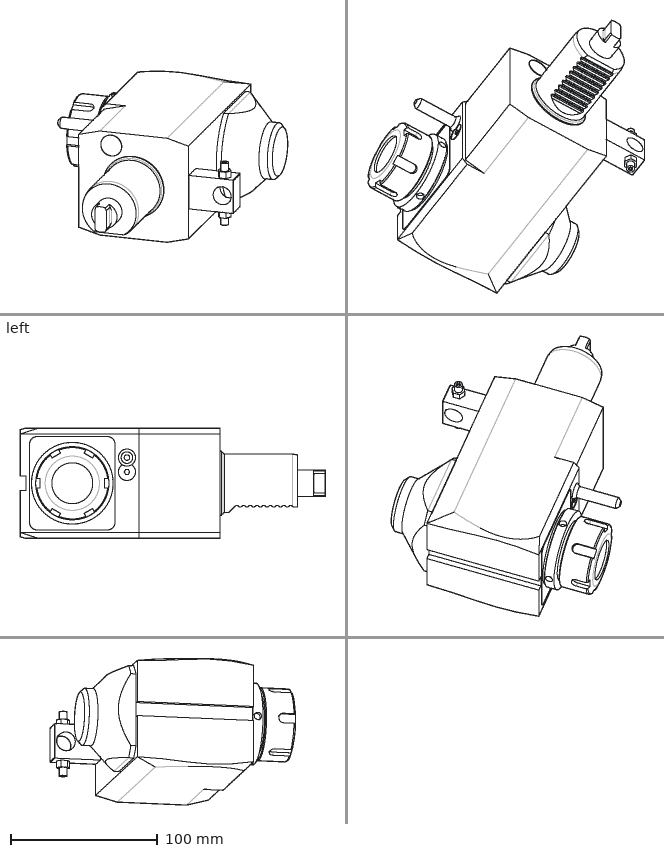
import cadquery as cq
import math


BODY_REAR = 136.2
BODY_HEIGHT = 75.0
BODY_HALF_HEIGHT = BODY_HEIGHT / 2
BODY_HALF_WIDTH = 39.3
EDGE_HEIGHT = 33.5
SLOPE_START = 24.1
REAR_BLOCK_START = 55.3
REAR_BLOCK_LEFT = -41.8
REAR_BLOCK_SLOPE_START = -37.9
REAR_SLOPE_LENGTH = 12.5
REAR_SLOPE_CREST = (-13.0, 3.3)
REAR_SLOPE_LEFT = (-27.2, 5.8)
REAR_SLOPE_RIGHT = (1.7, 5.2)
REAR_SLOT_DEPTH = 4.0
REAR_SLOT_HEIGHT = 9.8
PLUG_X, PLUG_Z = -16.0, 27.9
PLUG_RADIUS = 7.5
SHALLOW = 0.5

SPINDLE_Y = 100.7
PAD_LENGTH = 58.2
PAD_HEIGHT = 63.6
PAD_CORNER = 5.2
COLLAR_RADIUS = 27.9
COLLAR_FRONT = -50.0
COLLAR_BACK = -43.0
SPIGOT_RADIUS = 26.5
NECK_RADIUS = 21.2
NUT_RADIUS = 25.0
NUT_BACK = -52.5
NUT_FRONT = -74.7
NUT_CHAMFER = 0.6
NUT_CONE_LENGTH = 1.5
NUT_RIM_LENGTH = 1.0
NUT_FACE_RADIUS = 18.5
NUT_BORE_RADIUS = 14.0
NUT_BORE_DEPTH = 1.7
NUT_SLOT_COUNT = 6
NUT_SLOT_WIDTH = 6.7
NUT_SLOT_FLOOR = 21.8
NUT_SLOT_END = -57.6
NUT_SLOT_END_SHORT = -61.5
COLLAR_HOLE_COUNT = 4
COLLAR_HOLE_X = -46.4
COLLAR_HOLE_RADIUS = 2.5
COLLAR_HOLE_DEPTH = 4.2

PIN_Y, PIN_Z = 63.5, 17.5
PIN_RADIUS = 4.0
PIN_TIP_RADIUS = 1.9
PIN_TIP_LENGTH = 2.3
PIN_FOOT_RADIUS = 5.8
PIN_FOOT_LENGTH = 2.5
SCREW_Z = 7.7
SCREW_SOCKET = 3.7

COVER_RADIUS = 40.0
COVER_RIM_END = 42.8
COVER_HALF_HEIGHT = 32.0
COVER_REAR_REACH = 31.2
COVER_SLOPE = 0.25
NOSE_RADIUS = 19.5
NOSE_END = 72.0
NOSE_CHAMFER = 2.7

BRACKET_FRONT = 1.0
BRACKET_BACK = 16.2
BRACKET_END = 71.3
BRACKET_HALF_HEIGHT = 12.0
BRACKET_CHAMFER = 0.5
BOLT_X, BOLT_Y = 63.2, 6.5
BRACKET_BORE_RADIUS = 6.5
NUT_HEX_WIDTH = 9.2
NUT_HEX_HEIGHT = 4.5
BOLT_RADIUS = 2.7
BOLT_TOP = 22.3
BOLT_SOCKET = 3.0
SOCKET_DEPTH = 1.7

SHANK_RADIUS = 20.0
SHANK_LENGTH = 52.8
SHANK_CHAMFER = 0.6
SHANK_TIP_BAND = 3.5
FLANGE_RADIUS = 21.8
FLANGE_LENGTH = 1.9
FLANGE_CHAMFER = 1.0
RACK_DROP = 16.2
RACK_START = 9.8
RACK_RAMP = 4.4
TOOTH_COUNT = 9
TOOTH_PITCH = 4.5
TOOTH_DEPTH = 1.0
TOOTH_ROOT = 1.0
TOOTH_GAP = 3.5
FIRST_GAP = 11.5
DRIVE_RADIUS = 9.2
TANG_START = 63.6
TANG_END = 71.8
TANG_HALF_WIDTH = 4.2
TANG_FACE_HALF = 6.7
TANG_EDGE_HALF = 3.1
TANG_ROOT_FILLET = 0.8


def box(x0, x1, y0, y1, z0, z1):
    return cq.Workplane("XY").box(x1 - x0, y1 - y0, z1 - z0, centered=False).translate((x0, y0, z0))


def x_cylinder(x0, x1, y, z, radius):
    return cq.Workplane("YZ", origin=(x0, y, z)).circle(radius).extrude(x1 - x0)


def x_revolve(profile, y, z):
    """Turn (x, radius) points about the line through (y, z) parallel to X."""
    return cq.Workplane("XY").polyline(profile).close().revolve(360, (0, 0), (1, 0)).translate((0, y, z))


def body_prism(left, left_slope_start, y0, y1):
    """Eight-sided bar along Y, symmetric about Z = 0."""
    upper = [
        (left, EDGE_HEIGHT),
        (left_slope_start, BODY_HALF_HEIGHT),
        (SLOPE_START, BODY_HALF_HEIGHT),
        (BODY_HALF_WIDTH, EDGE_HEIGHT),
    ]
    lower = [(x, -z) for x, z in reversed(upper)]
    return cq.Workplane("XZ", origin=(0, y0, 0)).polyline(upper + lower).close().extrude(y0 - y1)


def rear_slope_cutter():
    """Curved slope of even steepness from the rear face up to the top face."""
    steepness = (BODY_HALF_HEIGHT - EDGE_HEIGHT) / REAR_SLOPE_LENGTH
    middle = [REAR_SLOPE_LEFT, REAR_SLOPE_CREST, REAR_SLOPE_RIGHT]
    rear_curve = [(REAR_BLOCK_LEFT, REAR_SLOPE_LENGTH), *middle, (BODY_HALF_WIDTH, REAR_SLOPE_LENGTH)]
    top_curve = [(REAR_BLOCK_SLOPE_START, REAR_SLOPE_LENGTH), *middle, (SLOPE_START, REAR_SLOPE_LENGTH)]
    rear_edge = cq.Edge.makeSpline(
        [cq.Vector(x, BODY_REAR, BODY_HALF_HEIGHT - steepness * setback) for x, setback in rear_curve]
    )
    top_edge = cq.Edge.makeSpline(
        [cq.Vector(x, BODY_REAR - setback, BODY_HALF_HEIGHT) for x, setback in top_curve]
    )
    slope = cq.Face.makeRuledSurface(rear_edge, top_edge)
    return cq.Workplane(cq.Solid.extrudeLinear(slope, cq.Vector(0, 0, BODY_HALF_HEIGHT)))


def make_body():
    body = body_prism(-BODY_HALF_WIDTH, -SLOPE_START, 0, REAR_BLOCK_START)
    body = body.union(body_prism(REAR_BLOCK_LEFT, REAR_BLOCK_SLOPE_START, REAR_BLOCK_START, BODY_REAR))
    slope = rear_slope_cutter()
    body = body.cut(slope).cut(slope.mirror("XY"))
    rear_slot = box(
        REAR_BLOCK_LEFT, BODY_HALF_WIDTH,
        BODY_REAR - REAR_SLOT_DEPTH, BODY_REAR,
        -REAR_SLOT_HEIGHT / 2, REAR_SLOT_HEIGHT / 2,
    )
    plug = cq.Workplane("XZ", origin=(PLUG_X, 0, PLUG_Z)).circle(PLUG_RADIUS).extrude(-SHALLOW)
    pad = (
        cq.Workplane("YZ", origin=(REAR_BLOCK_LEFT, SPINDLE_Y, 0))
        .rect(PAD_LENGTH, PAD_HEIGHT)
        .extrude(SHALLOW)
        .edges("|X")
        .fillet(PAD_CORNER)
    )
    screw_socket = (
        cq.Workplane("YZ", origin=(REAR_BLOCK_LEFT, PIN_Y, SCREW_Z))
        .polygon(6, SCREW_SOCKET)
        .extrude(SOCKET_DEPTH)
    )
    screw_head = x_cylinder(REAR_BLOCK_LEFT, REAR_BLOCK_LEFT + SHALLOW, PIN_Y, SCREW_Z, PIN_FOOT_RADIUS)
    return body.cut(rear_slot).cut(plug).cut(pad).cut(screw_head).cut(screw_socket)


def make_collet_nut():
    """Collar, neck and clamping nut turned about the spindle axis."""
    rim_front = NUT_FRONT + NUT_CONE_LENGTH
    inside = REAR_BLOCK_LEFT + 2
    nut = x_revolve(
        [
            (inside, 0),
            (inside, SPIGOT_RADIUS),
            (COLLAR_BACK, SPIGOT_RADIUS),
            (COLLAR_BACK, COLLAR_RADIUS),
            (COLLAR_FRONT, COLLAR_RADIUS),
            (COLLAR_FRONT, NECK_RADIUS),
            (NUT_BACK, NECK_RADIUS),
            (NUT_BACK, NUT_RADIUS - NUT_CHAMFER),
            (NUT_BACK - NUT_CHAMFER, NUT_RADIUS),
            (rim_front + NUT_RIM_LENGTH, NUT_RADIUS),
            (rim_front, NUT_RADIUS - NUT_CHAMFER),
            (NUT_FRONT, NUT_FACE_RADIUS),
            (NUT_FRONT, 0),
        ],
        SPINDLE_Y,
        0,
    )
    nut = nut.cut(x_cylinder(NUT_FRONT, NUT_FRONT + NUT_BORE_DEPTH, SPINDLE_Y, 0, NUT_BORE_RADIUS))

    def around_spindle(tool, angle):
        return tool.rotate((0, 0, 0), (1, 0, 0), angle).translate((0, SPINDLE_Y, 0))

    def nut_slot(end):
        arc_centre = end - NUT_SLOT_WIDTH / 2
        return (
            cq.Workplane("XZ", origin=(0, -NUT_SLOT_FLOOR, 0))
            .moveTo(NUT_FRONT, -NUT_SLOT_WIDTH / 2)
            .lineTo(arc_centre, -NUT_SLOT_WIDTH / 2)
            .threePointArc((end, 0), (arc_centre, NUT_SLOT_WIDTH / 2))
            .lineTo(NUT_FRONT, NUT_SLOT_WIDTH / 2)
            .close()
            .extrude(NUT_RADIUS - NUT_SLOT_FLOOR + 2)
        )

    for i in range(NUT_SLOT_COUNT):
        on_y_axis = i % (NUT_SLOT_COUNT // 2) == 0
        end = NUT_SLOT_END_SHORT if on_y_axis else NUT_SLOT_END
        nut = nut.cut(around_spindle(nut_slot(end), i * 360 / NUT_SLOT_COUNT))

    hole = (
        cq.Workplane("XZ", origin=(COLLAR_HOLE_X, COLLAR_HOLE_DEPTH - COLLAR_RADIUS, 0))
        .circle(COLLAR_HOLE_RADIUS)
        .extrude(COLLAR_HOLE_DEPTH)
    )
    for i in range(COLLAR_HOLE_COUNT):
        nut = nut.cut(around_spindle(hole, i * 360 / COLLAR_HOLE_COUNT))
    return nut


def make_pin():
    foot_front = REAR_BLOCK_LEFT - PIN_FOOT_LENGTH
    return x_revolve(
        [
            (REAR_BLOCK_LEFT + 2, 0),
            (REAR_BLOCK_LEFT + 2, PIN_FOOT_RADIUS),
            (REAR_BLOCK_LEFT, PIN_FOOT_RADIUS),
            (foot_front, PIN_RADIUS),
            (NUT_FRONT + PIN_TIP_LENGTH, PIN_RADIUS),
            (NUT_FRONT, PIN_TIP_RADIUS),
            (NUT_FRONT, 0),
        ],
        PIN_Y,
        PIN_Z,
    )


def make_cover():
    """Conical cover, trimmed above, below and at the rear."""
    inside = BODY_HALF_WIDTH - 2
    cone_end = COVER_RIM_END + COVER_RADIUS - NOSE_RADIUS
    cover = x_revolve(
        [
            (inside, 0),
            (inside, COVER_RADIUS),
            (COVER_RIM_END, COVER_RADIUS),
            (cone_end, NOSE_RADIUS),
            (NOSE_END - NOSE_CHAMFER, NOSE_RADIUS),
            (NOSE_END, NOSE_RADIUS - NOSE_CHAMFER),
            (NOSE_END, 0),
        ],
        SPINDLE_Y,
        0,
    )
    end_half_height = COVER_HALF_HEIGHT - COVER_SLOPE * (NOSE_END - COVER_RIM_END)
    upper = [
        (inside, COVER_HALF_HEIGHT),
        (COVER_RIM_END, COVER_HALF_HEIGHT),
        (NOSE_END, end_half_height),
    ]
    lower = [(x, -z) for x, z in reversed(upper)]
    envelope = (
        cq.Workplane("XZ", origin=(0, SPINDLE_Y + COVER_REAR_REACH, 0))
        .polyline(upper + lower)
        .close()
        .extrude(COVER_REAR_REACH + COVER_RADIUS)
    )
    return cover.intersect(envelope)


def make_bracket():
    bracket = box(
        BODY_HALF_WIDTH - 2, BRACKET_END,
        BRACKET_FRONT, BRACKET_BACK,
        -BRACKET_HALF_HEIGHT, BRACKET_HALF_HEIGHT,
    )
    bracket = bracket.faces(">X").edges().chamfer(BRACKET_CHAMFER)
    bore = (
        cq.Workplane("XZ", origin=(BOLT_X, BRACKET_FRONT, 0))
        .circle(BRACKET_BORE_RADIUS)
        .extrude(BRACKET_FRONT - BRACKET_BACK)
    )
    bracket = bracket.cut(bore)
    seat = cq.Workplane("XY", origin=(BOLT_X, BOLT_Y, BRACKET_HALF_HEIGHT))
    bolt = seat.polygon(6, NUT_HEX_WIDTH).extrude(NUT_HEX_HEIGHT)
    bolt = bolt.union(seat.circle(BOLT_RADIUS).extrude(BOLT_TOP - BRACKET_HALF_HEIGHT))
    bolt = bolt.faces(">Z").workplane().polygon(6, BOLT_SOCKET).cutBlind(-SOCKET_DEPTH)
    return bracket.union(bolt).union(bolt.mirror("XY"))


def make_shank():
    """Toothed round shank with its flange, turned about Y."""
    flange_end = FLANGE_LENGTH + FLANGE_CHAMFER
    profile = [
        (0, 2),
        (FLANGE_RADIUS, 2),
        (FLANGE_RADIUS, -FLANGE_LENGTH + FLANGE_CHAMFER),
        (FLANGE_RADIUS - FLANGE_CHAMFER, -FLANGE_LENGTH),
        (SHANK_RADIUS, -flange_end),
        (SHANK_RADIUS, SHANK_TIP_BAND - SHANK_LENGTH),
        (SHANK_RADIUS - SHANK_CHAMFER, -SHANK_LENGTH),
        (0, -SHANK_LENGTH),
    ]
    shank = cq.Workplane("XY").polyline(profile).close().revolve(360, (0, 0), (0, 1))

    rack = [
        (-SHANK_LENGTH, -RACK_DROP),
        (-RACK_START, -RACK_DROP),
        (RACK_RAMP - RACK_START, -RACK_DROP - RACK_RAMP),
        (-SHANK_LENGTH, -RACK_DROP - RACK_RAMP),
    ]
    side = cq.Workplane("YZ")
    shank = shank.cut(side.polyline(rack).close().extrude(SHANK_RADIUS, both=True))
    for i in range(TOOTH_COUNT):
        y = -FIRST_GAP - i * TOOTH_PITCH
        gap = [
            (y - TOOTH_GAP / 2, -RACK_DROP),
            (y - TOOTH_ROOT / 2, -RACK_DROP + TOOTH_DEPTH),
            (y + TOOTH_ROOT / 2, -RACK_DROP + TOOTH_DEPTH),
            (y + TOOTH_GAP / 2, -RACK_DROP),
        ]
        shank = shank.cut(side.polyline(gap).close().extrude(SHANK_RADIUS, both=True))
    return shank


def make_drive():
    """Round drive end with a flat tang, its long edges bevelled and its root rounded."""
    blank = cq.Workplane("XZ", origin=(0, 2 - SHANK_LENGTH, 0)).circle(DRIVE_RADIUS)
    blank = blank.extrude(TANG_END - SHANK_LENGTH + 2)
    upper = [
        (TANG_HALF_WIDTH, TANG_FACE_HALF),
        (TANG_EDGE_HALF, DRIVE_RADIUS),
        (-TANG_EDGE_HALF, DRIVE_RADIUS),
        (-TANG_HALF_WIDTH, TANG_FACE_HALF),
    ]
    lower = [(x, -z) for x, z in reversed(upper)]
    tang = cq.Workplane("XZ", origin=(0, -TANG_START, 0)).polyline(upper + lower).close()
    tang = tang.extrude(TANG_END - TANG_START)
    drive = box(-DRIVE_RADIUS, DRIVE_RADIUS, -TANG_START, 2 - SHANK_LENGTH, -DRIVE_RADIUS, DRIVE_RADIUS)
    drive = drive.union(tang)
    root = cq.selectors.BoxSelector(
        (-TANG_HALF_WIDTH - 0.2, -TANG_START - 0.2, -0.2),
        (TANG_HALF_WIDTH + 0.2, -TANG_START + 0.2, 0.2),
    )
    drive = drive.edges("|Z").edges(root).fillet(TANG_ROOT_FILLET)
    return drive.intersect(blank)


result = make_body()
for piece in (make_collet_nut(), make_pin(), make_cover(), make_bracket(), make_shank(), make_drive()):
    result = result.union(piece)